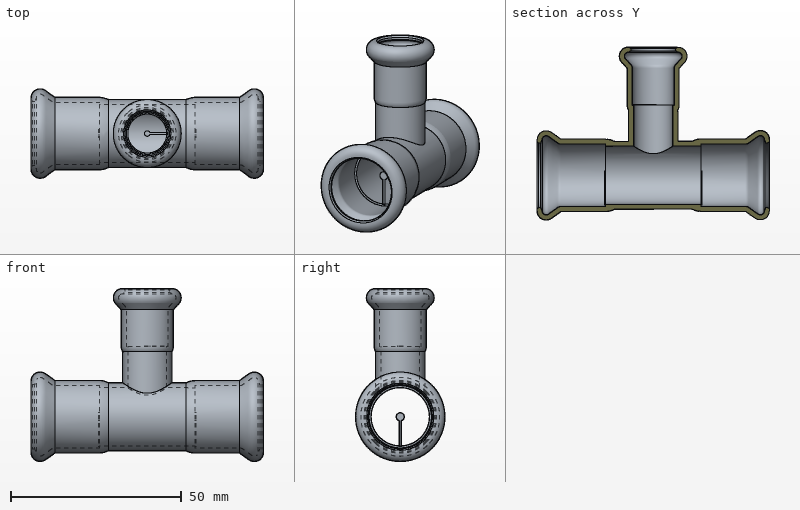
import cadquery as cq
import math

RUN_SIDES = (-1, 1)
RUN_HALF_LENGTH = 34.0
BRANCH_HEIGHT = 37.5
RUN_NECK_DIAMETER = 20.0
RUN_BORE_DIAMETER = 17.0
BRANCH_NECK_DIAMETER = 14.5
BRANCH_BORE_DIAMETER = 11.4

BEAD_RADIUS = 2.7
BEAD_WALL = 1.55
BEAD_CAVITY_RADIUS = BEAD_RADIUS - BEAD_WALL
LIP_THICKNESS = 1.1
BEAD_ARC_PAST_CREST = 1.58
LEAD_IN_WIDTH = 0.4
LEAD_IN_DEPTH = 0.5

RUN_SOCKET = dict(
    bead_diameter=26.2, outer_diameter=21.3, inner_diameter=18.2, lip_diameter=18.8,
    cone_end=7.0, stop_depth=20.0, reduced_depth=22.6,
    neck_diameter=RUN_NECK_DIAMETER, bore_diameter=RUN_BORE_DIAMETER,
)
BRANCH_SOCKET = dict(
    bead_diameter=19.9, outer_diameter=15.3, inner_diameter=12.2, lip_diameter=13.0,
    cone_end=6.2, stop_depth=17.0, reduced_depth=18.4,
    neck_diameter=BRANCH_NECK_DIAMETER, bore_diameter=BRANCH_BORE_DIAMETER,
)

RUN_MARKER_DIAMETER = 2.4
RUN_MARKER_BAR_WIDTH = 0.7
BRANCH_MARKER_DIAMETER = RUN_MARKER_DIAMETER * BRANCH_BORE_DIAMETER / RUN_BORE_DIAMETER
BRANCH_MARKER_BAR_WIDTH = 0.6
MARKER_THICKNESS = 0.2
MARKER_BAR_OVERLAP = 0.15


def shoulder_midpoint(start, end):
    """Middle of the arc that leaves `start` parallel to the axis and falls to `end`."""
    drop = start[0] - end[0]
    run = abs(end[1] - start[1])
    radius = (run**2 + drop**2) / (2 * drop)
    half_angle = math.asin(run / radius) / 2
    toward_end = math.copysign(1, end[1] - start[1])
    return (
        start[0] - radius * (1 - math.cos(half_angle)),
        start[1] + toward_end * radius * math.sin(half_angle),
    )


def socket_outside(length, socket):
    """Solid of the socket's outer form, mouth face at Z = length, reaching down to Z = 0."""
    crest_z = length - BEAD_RADIUS
    bead_center_r = socket["bead_diameter"] / 2 - BEAD_RADIUS
    arc_end_r = bead_center_r + math.sqrt(BEAD_RADIUS**2 - BEAD_ARC_PAST_CREST**2)
    outer_r = socket["outer_diameter"] / 2
    neck_r = socket["neck_diameter"] / 2
    shoulder_top = (outer_r, length - socket["stop_depth"])
    shoulder_foot = (neck_r, length - socket["reduced_depth"])
    return (
        cq.Workplane("XZ")
        .moveTo(0, length)
        .lineTo(bead_center_r, length)
        .threePointArc((bead_center_r + BEAD_RADIUS, crest_z), (arc_end_r, crest_z - BEAD_ARC_PAST_CREST))
        .lineTo(outer_r, length - socket["cone_end"])
        .lineTo(*shoulder_top)
        .threePointArc(shoulder_midpoint(shoulder_top, shoulder_foot), shoulder_foot)
        .lineTo(neck_r, 0)
        .lineTo(0, 0)
        .close()
        .revolve(360, (0, 0, 0), (0, 1, 0))
    )


def seat_entry_arc(cone_top, corner, seat_r):
    """Rounded entry from the cavity cone to the pipe seat, centered on the outer corner of the wall.

    Returns the point where the cone from `cone_top` touches the arc, and the arc's middle.
    """
    radius = corner[0] - seat_r
    away_r = cone_top[0] - corner[0]
    away_z = cone_top[1] - corner[1]
    touch_angle = math.atan2(away_z, away_r) + math.acos(radius / math.hypot(away_r, away_z))
    middle_angle = (touch_angle + math.pi) / 2
    return [
        (corner[0] + radius * math.cos(angle), corner[1] + radius * math.sin(angle))
        for angle in (touch_angle, middle_angle)
    ]


def socket_inside(length, socket):
    """Solid of the socket's hollow: lead-in, lip, bead cavity, pipe seat, flat stop and bore."""
    crest_z = length - BEAD_RADIUS
    bead_center_r = socket["bead_diameter"] / 2 - BEAD_RADIUS
    arc_past_crest = BEAD_ARC_PAST_CREST * BEAD_CAVITY_RADIUS / BEAD_RADIUS
    arc_end_r = bead_center_r + math.sqrt(BEAD_CAVITY_RADIUS**2 - arc_past_crest**2)
    arc_end = (arc_end_r, crest_z - arc_past_crest)
    lip_r = socket["lip_diameter"] / 2
    seat_r = socket["inner_diameter"] / 2
    bore_r = socket["bore_diameter"] / 2
    seat_start_z = length - socket["cone_end"]
    stop_z = length - socket["stop_depth"]
    outer_corner = (socket["outer_diameter"] / 2, seat_start_z)
    cone_foot, entry_middle = seat_entry_arc(arc_end, outer_corner, seat_r)
    return (
        cq.Workplane("XZ")
        .moveTo(0, length)
        .lineTo(lip_r + LEAD_IN_WIDTH, length)
        .lineTo(lip_r, length - LEAD_IN_DEPTH)
        .lineTo(lip_r, length - LIP_THICKNESS)
        .lineTo(bead_center_r, length - BEAD_WALL)
        .threePointArc((bead_center_r + BEAD_CAVITY_RADIUS, crest_z), arc_end)
        .lineTo(*cone_foot)
        .threePointArc(entry_middle, (seat_r, seat_start_z))
        .lineTo(seat_r, stop_z)
        .lineTo(bore_r, stop_z)
        .lineTo(bore_r, 0)
        .lineTo(0, 0)
        .close()
        .revolve(360, (0, 0, 0), (0, 1, 0))
    )


def make_marker(length, socket, disc_diameter, bar_width):
    """Flat marker lying on the stop, its bar pointing along +X and resting on the ledge."""
    bar_reach = socket["bore_diameter"] / 2 + MARKER_BAR_OVERLAP
    plane = cq.Workplane("XY").workplane(offset=length - socket["stop_depth"])
    disc = plane.circle(disc_diameter / 2).extrude(MARKER_THICKNESS)
    bar = plane.center(bar_reach / 2, 0).rect(bar_reach, bar_width).extrude(MARKER_THICKNESS)
    return disc.union(bar)


def onto_run(shape, side):
    """Turn a shape built along +Z onto the run: side +1 faces +X, side -1 faces -X."""
    return shape.rotate((0, 0, 0), (0, 1, 0), 90 * side)


tee = socket_outside(BRANCH_HEIGHT, BRANCH_SOCKET)
for side in RUN_SIDES:
    tee = tee.union(onto_run(socket_outside(RUN_HALF_LENGTH, RUN_SOCKET), side))
tee = tee.cut(socket_inside(BRANCH_HEIGHT, BRANCH_SOCKET))
for side in RUN_SIDES:
    tee = tee.cut(onto_run(socket_inside(RUN_HALF_LENGTH, RUN_SOCKET), side))

branch_marker = make_marker(
    BRANCH_HEIGHT, BRANCH_SOCKET, BRANCH_MARKER_DIAMETER, BRANCH_MARKER_BAR_WIDTH
)

run_markers = []
for side in RUN_SIDES:
    marker = make_marker(RUN_HALF_LENGTH, RUN_SOCKET, RUN_MARKER_DIAMETER, RUN_MARKER_BAR_WIDTH)
    if side < 0:
        marker = marker.rotate((0, 0, 0), (0, 0, 1), 180)
    run_markers.append(onto_run(marker, side))

result = cq.Compound.makeCompound(
    [tee.val(), branch_marker.val(), *[marker.val() for marker in run_markers]]
)